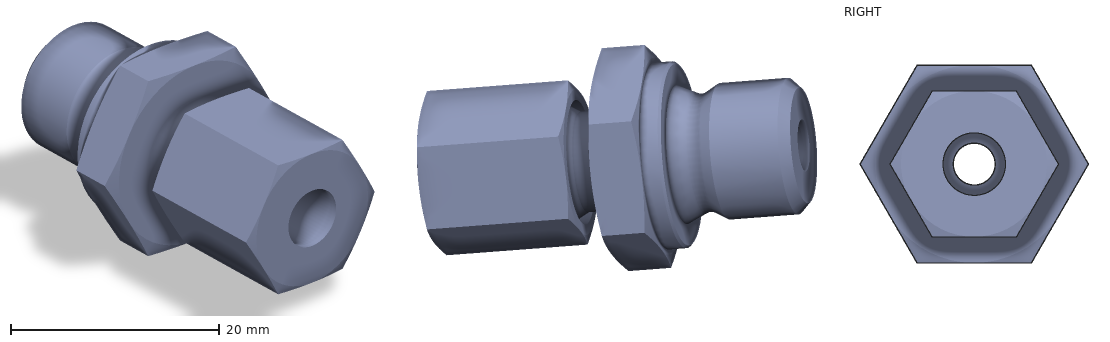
import cadquery as cq
import math


stud_length = 12.0
collar_length = 2.0
body_hex_length = 5.0
connector_length = 10.0
nut_start = 22.0
nut_length = 14.5

collar_start = stud_length
body_hex_start = collar_start + collar_length
body_hex_end = body_hex_start + body_hex_length
body_end = body_hex_end + connector_length
nut_end = nut_start + nut_length

stud_radius = 13.157 / 2
stud_chamfer = 1.0
undercut_radius = 5.7
undercut_center = 9.6
undercut_arc_radius = 1.2
thread_side_angle = math.radians(30)
collar_side_angle = math.radians(25)
collar_radius = 9.0
collar_chamfer = 0.25

neck_radius = 4.85
neck_fillet = 1.0
neck_end = 21.65
connector_radius = 6.0
connector_angle = math.radians(30)

bore_radius = 2.0
bore_chamfer = 0.5
tube_radius = 3.0

body_across_flats = 19.0
nut_across_flats = 14.0
hex_chamfer_angle = math.radians(15)


def cylinder(start, end, radius):
    return cq.Workplane("YZ", origin=(start, 0, 0)).circle(radius).extrude(end - start)


def chamfered_hex(start, end, across_flats):
    """Hexagon with flats facing +Z and -Z, its corners turned off conically at both ends."""
    corner_radius = across_flats / math.sqrt(3)
    flat_radius = across_flats / 2
    chamfer_depth = (corner_radius - flat_radius) * math.tan(hex_chamfer_angle)
    prism = (
        cq.Workplane("YZ", origin=(start, 0, 0))
        .polygon(6, 2 * corner_radius)
        .extrude(end - start)
    )
    turned_envelope = (
        cq.Workplane("XY")
        .moveTo(start, 0)
        .lineTo(start, flat_radius)
        .lineTo(start + chamfer_depth, corner_radius)
        .lineTo(end - chamfer_depth, corner_radius)
        .lineTo(end, flat_radius)
        .lineTo(end, 0)
        .close()
        .revolve(360, (0, 0, 0), (1, 0, 0))
    )
    return prism.intersect(turned_envelope)


def undercut_tangent_point(angle, side):
    """Point where the undercut arc runs into a flank; side is -1 toward the thread, +1 toward the collar."""
    x = undercut_center + side * undercut_arc_radius * math.sin(angle)
    radius = undercut_radius + undercut_arc_radius * (1 - math.cos(angle))
    return x, radius


def turned_profile():
    """Solid of revolution for stud, undercut, collar, neck and nut connector."""
    thread_tangent = undercut_tangent_point(thread_side_angle, -1)
    collar_tangent = undercut_tangent_point(collar_side_angle, 1)
    thread_end = thread_tangent[0] - (stud_radius - thread_tangent[1]) / math.tan(thread_side_angle)
    cone_rise = (collar_start - collar_tangent[0]) * math.tan(collar_side_angle)
    cone_base_radius = collar_tangent[1] + cone_rise
    connector_start = neck_end + (connector_radius - neck_radius) / math.tan(connector_angle)
    fillet_sag = neck_fillet * (1 - math.sqrt(0.5))
    return (
        cq.Workplane("XY")
        .moveTo(0, 0)
        .lineTo(0, stud_radius - stud_chamfer)
        .lineTo(stud_chamfer, stud_radius)
        .lineTo(thread_end, stud_radius)
        .lineTo(*thread_tangent)
        .threePointArc((undercut_center, undercut_radius), collar_tangent)
        .lineTo(collar_start, cone_base_radius)
        .lineTo(collar_start, collar_radius - collar_chamfer)
        .lineTo(collar_start + collar_chamfer, collar_radius)
        .lineTo(body_hex_end, collar_radius)
        .lineTo(body_hex_end, neck_radius + neck_fillet)
        .threePointArc(
            (body_hex_end + fillet_sag, neck_radius + fillet_sag),
            (body_hex_end + neck_fillet, neck_radius),
        )
        .lineTo(neck_end, neck_radius)
        .lineTo(connector_start, connector_radius)
        .lineTo(body_end, connector_radius)
        .lineTo(body_end, 0)
        .close()
        .revolve(360, (0, 0, 0), (1, 0, 0))
    )


def make_body():
    body_hex = chamfered_hex(body_hex_start, body_hex_end, body_across_flats)
    bore = cylinder(0, body_end, bore_radius)
    solid = turned_profile().union(body_hex).cut(bore)
    bore_mouth = cq.selectors.RadiusNthSelector(0)
    return solid.faces("<X").edges(bore_mouth).chamfer(bore_chamfer)


def make_nut():
    """Union nut: a socket filled by the body's connector, then a clearance hole for the tube."""
    socket = cylinder(nut_start, body_end, connector_radius)
    tube_hole = cylinder(body_end, nut_end, tube_radius)
    return chamfered_hex(nut_start, nut_end, nut_across_flats).cut(socket).cut(tube_hole)


body = make_body()
nut = make_nut()

result = cq.Compound.makeCompound([body.solids().val(), nut.solids().val()])